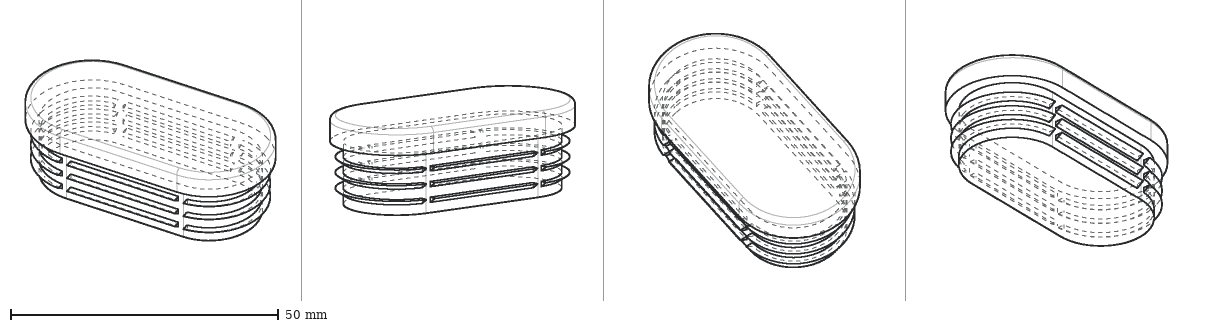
import cadquery as cq

cap_length = 50.0
cap_width = 25.0
cap_height = 5.0
rim_radius = 1.0

plug_inset = 2.5
plug_height = 12.0
plug_length = cap_length - 2 * plug_inset
plug_width = cap_width - 2 * plug_inset

rib_reach = 1.5
rib_height = 1.0
rib_count = 3
rib_pitch = 3.0

gap_inner = 11.5
gap_outer = 13.35


def stadium(length, width, z):
    return cq.Workplane("XY").workplane(offset=z).slot2D(length, width)


def rib_ring(top_z):
    """Triangular rib running all the way round the plug, on a solid core."""
    lower = stadium(plug_length, plug_width, top_z - rib_height)
    return (
        lower.workplane(offset=rib_height)
        .slot2D(plug_length + 2 * rib_reach, plug_width + 2 * rib_reach)
        .loft(ruled=True, combine=True)
    )


def rib_gap(side):
    """Block that clears the ribs at one pair of joints."""
    return (
        cq.Workplane("XY")
        .center(side * (gap_inner + gap_outer) / 2, 0)
        .rect(gap_outer - gap_inner, cap_width)
        .extrude(plug_height)
    )


cap = stadium(cap_length, cap_width, plug_height).extrude(cap_height)
cap = cap.faces(">Z").edges().fillet(rim_radius)

plug = stadium(plug_length, plug_width, 0).extrude(plug_height)

result = cap.union(plug)
for index in range(rib_count):
    ring = rib_ring(rib_pitch * (index + 1))
    for side in (-1, 1):
        ring = ring.cut(rib_gap(side))
    result = result.union(ring)